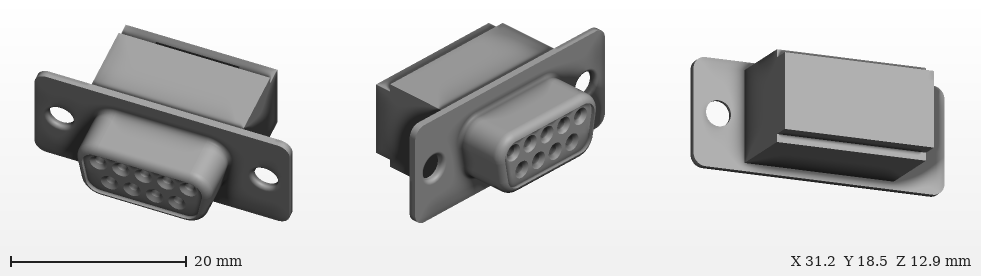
import cadquery as cq
import math

flange_width = 31.2
flange_height = 12.95
flange_thickness = 0.87
flange_corner_radius = 1.47
mount_hole_spacing = 24.98
mount_hole_diameter = 3.1
mount_hole_rounding = 0.5

housing_width = 18.53
housing_height = 11.0
housing_depth = 11.35
tail_height = 9.1
tail_depth = 2.2
recess_width = 10.23
recess_length = 1.05
recess_depth = 0.95

shell_depth = 6.3
shell_height = 8.05
shell_mid_width = 16.03
shell_side_angle = 10.0
shell_corner_radius = 2.62
shell_front_rounding = 1.12
shell_root_fillet = 0.47
opening_inset = 0.87
opening_depth = 0.5

contact_pitch = 2.75
contact_row_spacing = 2.85
contact_rows = ((5, contact_row_spacing / 2), (4, -contact_row_spacing / 2))
contact_mouth_diameter = 2.15
contact_bore_diameter = 1.15
contact_mouth_depth = 0.45
contact_bore_depth = 1.87


def d_prism(inset, start_y, length):
    """D-shaped prism, inset evenly from the shell outline, running forward from start_y."""
    slope = math.tan(math.radians(shell_side_angle))
    half_height = shell_height / 2 - inset
    mid_half_width = shell_mid_width / 2 - inset / math.cos(math.radians(shell_side_angle))
    top_half_width = mid_half_width + half_height * slope
    bottom_half_width = mid_half_width - half_height * slope
    outline = [
        (-top_half_width, half_height),
        (top_half_width, half_height),
        (bottom_half_width, -half_height),
        (-bottom_half_width, -half_height),
    ]
    prism = cq.Workplane("XZ", origin=(0, start_y, 0)).polyline(outline).close().extrude(length)
    return prism.edges("|Y").fillet(shell_corner_radius - inset)


def make_flange():
    plate = cq.Workplane("XZ").rect(flange_width, flange_height).extrude(-flange_thickness)
    hole_centres = [(-mount_hole_spacing / 2, 0), (mount_hole_spacing / 2, 0)]
    holes = (
        cq.Workplane("XZ")
        .pushPoints(hole_centres)
        .circle(mount_hole_diameter / 2)
        .extrude(-flange_thickness)
    )
    drilled = plate.cut(holes).faces("<Y").edges("%CIRCLE").fillet(mount_hole_rounding)
    return drilled.edges("|Y and (<X or >X)").fillet(flange_corner_radius)


def make_housing():
    back_y = flange_thickness + housing_depth
    step_y = back_y - tail_depth
    main_block = (
        cq.Workplane("XZ", origin=(0, flange_thickness, 0))
        .rect(housing_width, housing_height)
        .extrude(-(housing_depth - tail_depth))
    )
    tail = cq.Workplane("XZ", origin=(0, step_y, 0)).rect(housing_width, tail_height).extrude(-tail_depth)
    recess = cq.Workplane("XY").box(recess_width, recess_length, recess_depth, centered=(True, False, False))
    recess = recess.translate((0, step_y, tail_height / 2 - recess_depth))
    return main_block.union(tail).cut(recess)


def make_shell():
    return d_prism(0, 0, shell_depth).faces("<Y").edges().fillet(shell_front_rounding)


def contact_cutter():
    """Bore with a conical mouth, as a profile revolved about the Y axis; mouth at Y = 0."""
    profile = [
        (0, 0),
        (contact_mouth_diameter / 2, 0),
        (contact_bore_diameter / 2, contact_mouth_depth),
        (contact_bore_diameter / 2, contact_bore_depth),
        (0, contact_bore_depth),
    ]
    return cq.Workplane("XY").polyline(profile).close().revolve(360, (0, 0, 0), (0, 1, 0))


connector = make_flange().union(make_shell())

half_zone_x = shell_mid_width / 2 + shell_root_fillet
half_zone_z = shell_height / 2 + shell_root_fillet
zone_slack = 0.03
root_zone = cq.selectors.BoxSelector(
    (-half_zone_x, -zone_slack, -half_zone_z), (half_zone_x, zone_slack, half_zone_z)
)
connector = connector.edges(root_zone).fillet(shell_root_fillet)
connector = connector.union(make_housing())

insulator_y = -shell_depth + opening_depth
connector = connector.cut(d_prism(opening_inset, insulator_y, opening_depth))

for contact_count, row_z in contact_rows:
    for index in range(contact_count):
        contact_x = (index - (contact_count - 1) / 2) * contact_pitch
        connector = connector.cut(contact_cutter().translate((contact_x, insulator_y, row_z)))

result = connector